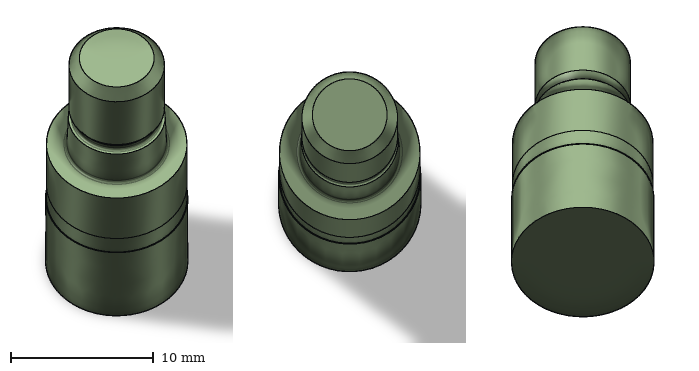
import cadquery as cq

total_height = 22.5
grip_top = 7.0
joint_height = 8.5
shoulder_height = 13.0
neck_top = 16.0
groove_top = 16.45
shank_bottom = 17.0
tip_chamfer_height = 0.75

grip_bottom_radius = 5.0
grip_top_radius = 4.99
body_radius = 4.93
neck_bottom_radius = 3.5
neck_top_radius = 3.4
neck_fillet = 0.2
groove_radius = 3.0
groove_fillet = 0.2
shank_radius = 3.35
tip_radius = 2.62


def revolve_about_z(profile):
    """Turn a closed radius-height outline on the XZ plane into a round solid."""
    return profile.close().revolve(360, (0, 0, 0), (0, 1, 0))


def make_base():
    """Base: slightly tapered grip with a short, slightly thinner collar on top."""
    profile = (
        cq.Workplane("XZ")
        .lineTo(grip_bottom_radius, 0)
        .lineTo(grip_top_radius, grip_top)
        .lineTo(body_radius, grip_top)
        .lineTo(body_radius, joint_height)
        .lineTo(0, joint_height)
    )
    return revolve_about_z(profile)


def make_stud():
    """Stud: cylindrical foot, tapered neck, relief groove and chamfered shank."""
    profile = (
        cq.Workplane("XZ")
        .moveTo(0, joint_height)
        .lineTo(body_radius, joint_height)
        .lineTo(body_radius, shoulder_height)
        .lineTo(neck_bottom_radius + neck_fillet, shoulder_height)
        .radiusArc((neck_bottom_radius, shoulder_height + neck_fillet), neck_fillet)
        .lineTo(neck_top_radius, neck_top)
        .lineTo(groove_radius + groove_fillet, neck_top)
        .radiusArc((groove_radius, neck_top + groove_fillet), groove_fillet)
        .lineTo(groove_radius, groove_top)
        .lineTo(shank_radius, shank_bottom)
        .lineTo(shank_radius, total_height - tip_chamfer_height)
        .lineTo(tip_radius, total_height)
        .lineTo(0, total_height)
    )
    return revolve_about_z(profile)


base = make_base()
stud = make_stud()
result = cq.Compound.makeCompound([base.val(), stud.val()])